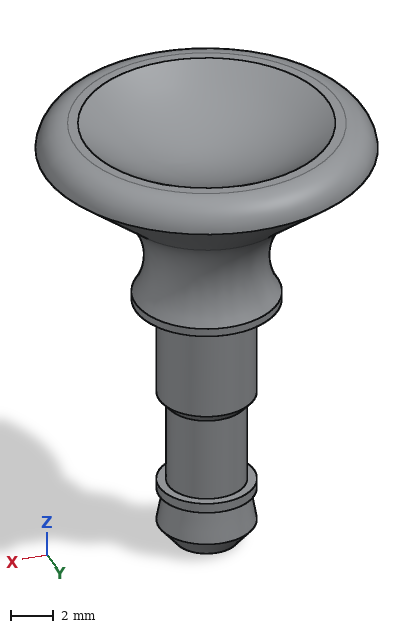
import cadquery as cq
import math

total_height = 22.4
rim_edge_z = 21.05
cone_bottom_z = 17.99
waist_z = 15.23
flange_top_z = 13.33
flange_bottom_z = 12.92
shoulder_top_z = 7.9
shoulder_bottom_z = 7.41
collar_top_z = 3.2
collar_bottom_z = 2.7
barb_z = 1.0

head_radius = 16.0 / 2
rim_flat_radius = 6.5
dish_radius = 6.0
dish_sphere_radius = 10.0
cone_bottom_radius = 4.2
waist_radius = 2.93
flange_radius = 3.52
shank_radius = 2.35
neck_radius = 1.9
barb_top_radius = 2.04
tip_radius = 1.5

dish_sphere_z = total_height + math.sqrt(dish_sphere_radius**2 - dish_radius**2)
dish_bottom_z = dish_sphere_z - dish_sphere_radius
dish_mid_radius = dish_radius / 2
dish_mid_z = dish_sphere_z - math.sqrt(dish_sphere_radius**2 - dish_mid_radius**2)


def half_profile():
    """Half section in the XZ plane, from the tip outward and up to the dish."""
    stem = (
        cq.Workplane("XZ")
        .moveTo(0, 0)
        .lineTo(tip_radius, 0)
        .lineTo(shank_radius, barb_z)
        .lineTo(barb_top_radius, collar_bottom_z)
        .lineTo(shank_radius, collar_bottom_z)
        .lineTo(shank_radius, collar_top_z)
        .lineTo(neck_radius, collar_top_z)
        .lineTo(neck_radius, shoulder_bottom_z)
        .lineTo(shank_radius, shoulder_top_z)
        .lineTo(shank_radius, flange_bottom_z)
    )
    head = (
        stem.lineTo(flange_radius, flange_bottom_z)
        .lineTo(flange_radius, flange_top_z)
        .threePointArc((waist_radius, waist_z), (cone_bottom_radius, cone_bottom_z))
        .lineTo(head_radius, rim_edge_z)
    )
    rim_width = head_radius - rim_flat_radius
    rim_drop = total_height - rim_edge_z
    rim_round = (rim_width**2 + rim_drop**2) / (2 * rim_drop)
    half_sweep = math.atan2(rim_drop, rim_width)
    rim_mid = (
        rim_flat_radius + rim_round * math.sin(half_sweep),
        total_height - rim_round * (1 - math.cos(half_sweep)),
    )
    return (
        head.threePointArc(rim_mid, (rim_flat_radius, total_height))
        .lineTo(dish_radius, total_height)
        .threePointArc((dish_mid_radius, dish_mid_z), (0, dish_bottom_z))
        .close()
    )


result = half_profile().revolve(360, (0, 0, 0), (0, 1, 0))